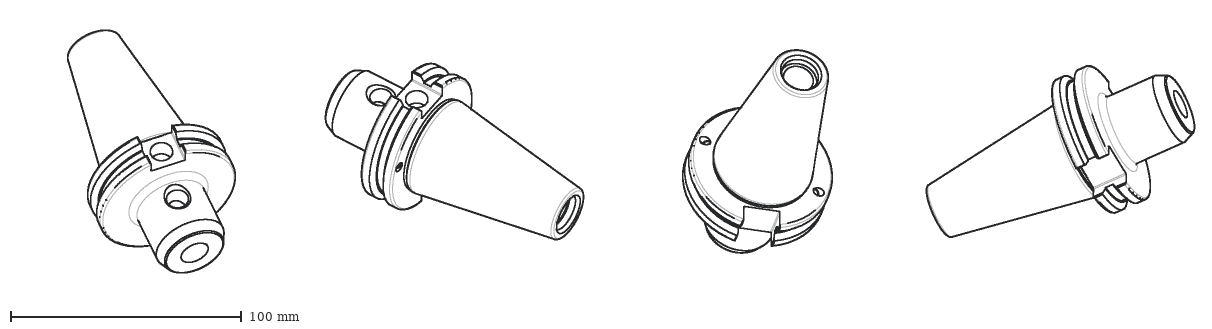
import cadquery as cq
import math

overall_length = 118.2
taper_end = 68.1
gauge_land_end = 69.6
flange_start = 71.4
flange_end = 87.4
body_chamfer_start = 112.9

taper_slope = 7 / 48
gauge_radius = 22.2
neck_radius = 43.6 / 2
flange_radius = 31.7
body_radius = 31.7 / 2
tail_radius = gauge_radius - taper_end * taper_slope
tail_round = 1.0
flange_round = 1.0
body_fillet = 2.7
nose_radius = 13.8
nose_chamfer = 0.6

groove_floor_start = 77.3
groove_floor_end = 81.1
groove_floor_radius = 28.0
groove_wall_run = 1.7
groove_wall_drop = groove_wall_run / math.tan(math.radians(30))
groove_shoulder = flange_radius - groove_wall_drop

thread_radius = 16.3 / 2
thread_mouth_radius = 18.3 / 2
thread_mouth_depth = 1.8
thread_depth = 4.8
relief_radius = 13.4 / 2
relief_end = 59.1
tool_bore_radius = 12.7 / 2

slot_width = 16.1
top_slot_floor = 25.0
bottom_slot_floor = 22.8
slot_corner_radius = 0.5
slot_edge_break = 0.6

slot_hole_diameter = 9.7
slot_hole_depth = 8.3
drill_half_angle = math.radians(59)

screw_position = 98.1
screw_radius = 9.6 / 2
screw_sink_radius = 6.6

coolant_radius = 27.1
coolant_angle = 20.2
coolant_tilt = 34.0
coolant_mouth_diameter = 4.0
coolant_mouth_depth = 2.1
coolant_diameter = 3.2
coolant_depth = 9.5


def revolve_about_x(profile):
    return profile.close().revolve(360, (0, 0, 0), (1, 0, 0))


def outer_body():
    """Taper, flange with groove and cylindrical tool body."""
    diagonal = math.sqrt(0.5)
    flange_arc = flange_round * (1 - diagonal)
    fillet_arc = body_fillet * (1 - diagonal)
    tail_arc = tail_round * (1 - diagonal)
    tail_edge = tail_radius + tail_round * taper_slope
    rounded_start = flange_start + flange_round
    rounded_end = flange_end - flange_round
    face_edge = flange_radius - flange_round
    profile = (
        cq.Workplane("XY")
        .lineTo(0, tail_edge - tail_round)
        .threePointArc((tail_arc, tail_edge - tail_arc), (tail_round, tail_edge))
        .lineTo(taper_end, gauge_radius)
        .lineTo(gauge_land_end, gauge_radius)
        .lineTo(gauge_land_end + gauge_radius - neck_radius, neck_radius)
        .lineTo(flange_start, neck_radius)
        .lineTo(flange_start, face_edge)
        .threePointArc((flange_start + flange_arc, flange_radius - flange_arc), (rounded_start, flange_radius))
        .lineTo(groove_floor_start - groove_wall_run, flange_radius)
        .lineTo(groove_floor_start, groove_shoulder)
        .lineTo(groove_floor_start, groove_floor_radius)
        .lineTo(groove_floor_end, groove_floor_radius)
        .lineTo(groove_floor_end, groove_shoulder)
        .lineTo(groove_floor_end + groove_wall_run, flange_radius)
        .lineTo(rounded_end, flange_radius)
        .threePointArc((flange_end - flange_arc, flange_radius - flange_arc), (flange_end, face_edge))
        .lineTo(flange_end, body_radius + body_fillet)
        .threePointArc((flange_end + fillet_arc, body_radius + fillet_arc), (flange_end + body_fillet, body_radius))
        .lineTo(body_chamfer_start, body_radius)
        .lineTo(overall_length - nose_chamfer, nose_radius)
        .lineTo(overall_length, nose_radius - nose_chamfer)
        .lineTo(overall_length, 0)
    )
    return revolve_about_x(profile)


def bore():
    profile = (
        cq.Workplane("XY")
        .lineTo(0, thread_mouth_radius)
        .lineTo(thread_mouth_depth, thread_radius)
        .lineTo(thread_depth, thread_radius)
        .lineTo(thread_depth, relief_radius)
        .lineTo(relief_end, relief_radius)
        .lineTo(relief_end, tool_bore_radius)
        .lineTo(overall_length, tool_bore_radius)
        .lineTo(overall_length, 0)
    )
    return revolve_about_x(profile)


def drive_slot(floor):
    """Slot opening towards +Z, with rounded floor corners and broken upper edges."""
    half = slot_width / 2
    break_start = math.sqrt(flange_radius**2 - half**2) - slot_edge_break
    rise = flange_radius - break_start
    length = flange_end - flange_start
    slot = (
        cq.Workplane("YZ", origin=(flange_start, 0, 0))
        .moveTo(-half, floor)
        .lineTo(half, floor)
        .lineTo(half, break_start)
        .lineTo(half + rise, flange_radius)
        .lineTo(-half - rise, flange_radius)
        .lineTo(-half, break_start)
        .close()
        .extrude(length)
    )
    return slot.faces("<Z").edges("|X").fillet(slot_corner_radius)


def slot_hole():
    radius = slot_hole_diameter / 2
    bottom = top_slot_floor - slot_hole_depth
    tip = bottom - radius / math.tan(drill_half_angle)
    return (
        cq.Workplane("XZ", origin=((flange_start + flange_end) / 2, 0, 0))
        .moveTo(0, top_slot_floor)
        .lineTo(radius, top_slot_floor)
        .lineTo(radius, bottom)
        .lineTo(0, tip)
        .close()
        .revolve(360, (0, 0, 0), (0, 1, 0))
    )


def screw_hole():
    """Countersunk hole from the top of the body into the bore."""
    sink_depth = screw_sink_radius - screw_radius
    return (
        cq.Workplane("XZ", origin=(screw_position, 0, 0))
        .lineTo(screw_radius, 0)
        .lineTo(screw_radius, body_radius - sink_depth)
        .lineTo(screw_sink_radius, body_radius)
        .lineTo(0, body_radius)
        .close()
        .revolve(360, (0, 0, 0), (0, 1, 0))
    )


def coolant_hole(turn):
    """Stepped hole starting just outside the flange face and leaning towards the axis."""
    tilt = math.radians(coolant_tilt)
    direction = cq.Vector(math.cos(tilt), -math.sin(tilt), 0)
    mouth = cq.Vector(flange_start, coolant_radius, 0)
    lead = coolant_mouth_diameter / 2 * math.tan(tilt)
    start = mouth - direction * lead
    wide = cq.Solid.makeCylinder(coolant_mouth_diameter / 2, lead + coolant_mouth_depth, start, direction)
    narrow = cq.Solid.makeCylinder(coolant_diameter / 2, coolant_depth, mouth, direction)
    return cq.Workplane(wide).union(cq.Workplane(narrow)).rotate((0, 0, 0), (1, 0, 0), turn)


result = outer_body().cut(bore())
result = result.cut(drive_slot(top_slot_floor))
result = result.cut(drive_slot(bottom_slot_floor).rotate((0, 0, 0), (1, 0, 0), 180))
result = result.cut(slot_hole()).cut(screw_hole())
for turn in (coolant_angle, coolant_angle + 180):
    result = result.cut(coolant_hole(turn))